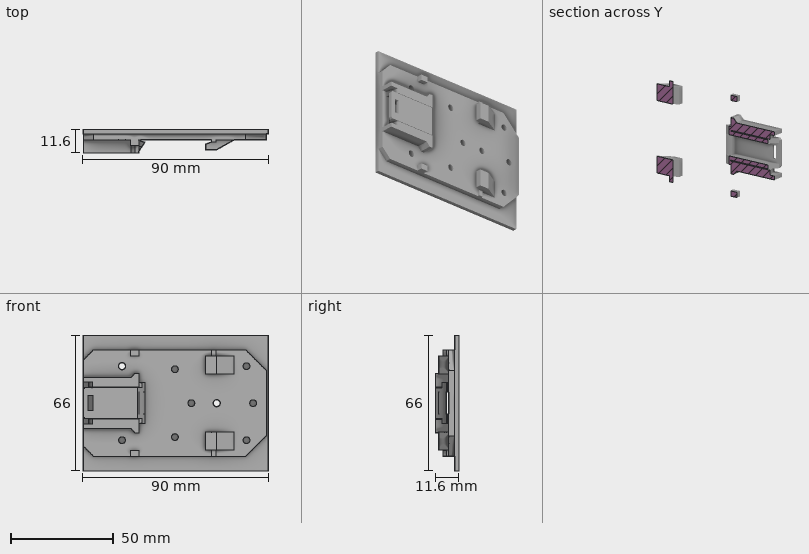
import cadquery as cq


plate_length = 90.05
plate_width = 66.0
plate_height = 2.2

holder_offset = 0.05

base_length = 88.95
base_half_width = 25.9
base_height = 5.2
base_left_chamfer = 5.0
base_right_chamfer = 10.0

hole_diameter = 3.3
through_holes = [(18.9, 18.0), (64.9, 0.0)]
blind_holes = [
    (18.9, -18.0),
    (79.4, 18.0),
    (79.4, -18.0),
    (44.6, 16.5),
    (44.6, -16.5),
    (52.6, 0.0),
    (82.6, 0.0),
]

top_height = 11.6
rail_length = 27.0
rail_inner = 7.75
rail_outer = 12.4
rail_flare_outer = 14.5
flare_start = 23.2
flare_end = 25.1
notch_outer = 10.2
notch_base_x = 2.5
notch_top_x = 4.45

tongue_half_width = 7.55
tongue_under_height = 10.0
tongue_end = 26.45
tongue_corner = 0.8
window_x = 2.4
window_length = 2.3
window_width = 7.2

web_inner = 5.3
web_end = 28.05
web_brace_start = 0.55
web_brace_end = 4.3

hook_tip_x = 29.95
hook_tip_height = 6.3
hook_back_x = 27.0
hook_back_height = 7.0
hook_heel_height = 5.8
wing_half_width = 9.9
wing_height = 8.4

stop_length = 4.1
stop_inner = 23.0
stop_height = 8.0
clip_inner = 14.1
clip_outer = 22.9
clip_start = 59.5
clip_flat_end = 64.8
clip_slope_end = 73.35
clip_height = 10.0
clip_lip_height = 7.2
neck_start = 62.25
neck_end = 64.5
neck_height = 6.2


def box(x0, x1, h0, h1, z0, z1):
    """Box between two X, two heights above the back and two Z."""
    return cq.Workplane("XY").box(x1 - x0, h1 - h0, z1 - z0, centered=False).translate((x0, -h1, z0))


def side_profile(points, z0, z1):
    """Extrude an (x, height) outline along Z."""
    outline = [(x, -height) for x, height in points]
    return cq.Workplane("XY").workplane(offset=z0).polyline(outline).close().extrude(z1 - z0)


def plan_profile(points, h0, h1):
    """Extrude an (x, z) outline along Y between two heights."""
    return cq.Workplane("XZ").workplane(offset=h0).polyline(points).close().extrude(h1 - h0)


def both_sides(shape):
    """The shape together with its mirror image across Z = 0."""
    return shape.union(shape.mirror("XY"))


def make_plate():
    return box(0, plate_length, 0, plate_height, -plate_width / 2, plate_width / 2)


def make_base():
    left_z = base_half_width - base_left_chamfer
    right_z = base_half_width - base_right_chamfer
    right_x = base_length - base_right_chamfer
    outline = [
        (0, left_z),
        (base_left_chamfer, base_half_width),
        (right_x, base_half_width),
        (base_length, right_z),
        (base_length, -right_z),
        (right_x, -base_half_width),
        (base_left_chamfer, -base_half_width),
        (0, -left_z),
    ]
    return plan_profile(outline, plate_height, base_height)


def drill(body, points, floor_height):
    """Cut round holes from the base face down to a floor height."""
    holes = (
        cq.Workplane("XZ")
        .workplane(offset=floor_height)
        .pushPoints(points)
        .circle(hole_diameter / 2)
        .extrude(base_height - floor_height)
    )
    return body.cut(holes)


def make_rails():
    outline = [
        (0, rail_inner),
        (0, rail_outer),
        (flare_start, rail_outer),
        (flare_end, rail_flare_outer),
        (rail_length, rail_flare_outer),
        (rail_length, rail_inner),
    ]
    rail = plan_profile(outline, base_height, top_height)
    notch = [(0, base_height), (notch_base_x, base_height), (notch_top_x, top_height), (0, top_height)]
    return both_sides(rail.cut(side_profile(notch, rail_inner, notch_outer)))


def make_tongue():
    corner_z = tongue_half_width - tongue_corner
    outline = [
        (0, corner_z),
        (tongue_corner, tongue_half_width),
        (tongue_end, tongue_half_width),
        (tongue_end, -tongue_half_width),
        (tongue_corner, -tongue_half_width),
        (0, -corner_z),
    ]
    tongue = plan_profile(outline, tongue_under_height, top_height)
    window = box(
        window_x,
        window_x + window_length,
        tongue_under_height,
        top_height,
        -window_width / 2,
        window_width / 2,
    )
    web = [
        (web_brace_start, tongue_under_height),
        (web_brace_end, base_height),
        (tongue_end, base_height),
        (tongue_end, tongue_under_height),
    ]
    return tongue.cut(window).union(both_sides(side_profile(web, web_inner, tongue_half_width)))


def make_hook():
    bar = [
        (tongue_end, top_height),
        (hook_tip_x, hook_tip_height),
        (hook_back_x, hook_back_height),
        (hook_back_x, tongue_under_height),
        (tongue_end, tongue_under_height),
    ]
    hook = side_profile(bar, -web_inner, web_inner)
    end = [
        (tongue_end, top_height),
        (hook_tip_x, hook_tip_height),
        (web_end, hook_heel_height),
        (web_end, base_height),
        (tongue_end, base_height),
    ]
    hook = hook.union(both_sides(side_profile(end, web_inner, tongue_half_width)))
    slope = (hook_tip_x - tongue_end) / (top_height - hook_tip_height)
    wing_top_x = hook_tip_x - slope * (wing_height - hook_tip_height)
    wing = [
        (rail_length, wing_height),
        (wing_top_x, wing_height),
        (hook_tip_x, hook_tip_height),
        (web_end, hook_heel_height),
        (web_end, base_height),
        (rail_length, base_height),
    ]
    return hook.union(both_sides(side_profile(wing, tongue_half_width, wing_half_width)))


def make_stops():
    stop_start = rail_length - stop_length
    return both_sides(box(stop_start, rail_length, base_height, stop_height, stop_inner, base_half_width))


def make_clips():
    outline = [
        (clip_start, clip_height),
        (clip_flat_end, clip_height),
        (clip_slope_end, base_height),
        (neck_start, base_height),
        (neck_start, neck_height),
        (clip_start, clip_lip_height),
    ]
    clip = side_profile(outline, clip_inner, clip_outer)
    neck = box(neck_start, neck_end, base_height, neck_height, clip_outer, base_half_width)
    return both_sides(clip.union(neck))


holder = make_base()
for feature in (make_rails(), make_tongue(), make_hook(), make_stops(), make_clips()):
    holder = holder.union(feature)

body = make_plate().union(holder.translate((holder_offset, 0, holder_offset)))
body = drill(body, blind_holes, plate_height)
body = drill(body, through_holes, 0)

result = body